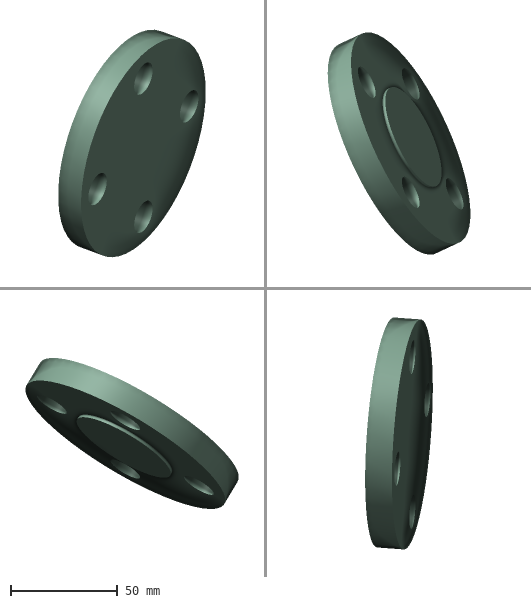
import cadquery as cq

flange_diameter = 108.0
overall_thickness = 14.2
face_diameter = 50.8
face_height = 1.5
bolt_circle_diameter = 79.3
bolt_hole_diameter = 16.0
bolt_count = 4

plate_thickness = overall_thickness - face_height


def make_plate():
    """Round plate between the raised face step and the flat back."""
    plate = cq.Workplane("YZ").workplane(offset=face_height)
    return plate.circle(flange_diameter / 2).extrude(plate_thickness)


def make_raised_face():
    """Solid disc that starts at X = 0 and meets the plate."""
    return cq.Workplane("YZ").circle(face_diameter / 2).extrude(face_height)


def make_bolt_holes():
    """Through-hole cutters, equally spaced on the bolt circle."""
    return (
        cq.Workplane("YZ")
        .polarArray(bolt_circle_diameter / 2, 0, 360, bolt_count)
        .circle(bolt_hole_diameter / 2)
        .extrude(overall_thickness)
    )


result = make_plate().union(make_raised_face()).cut(make_bolt_holes())